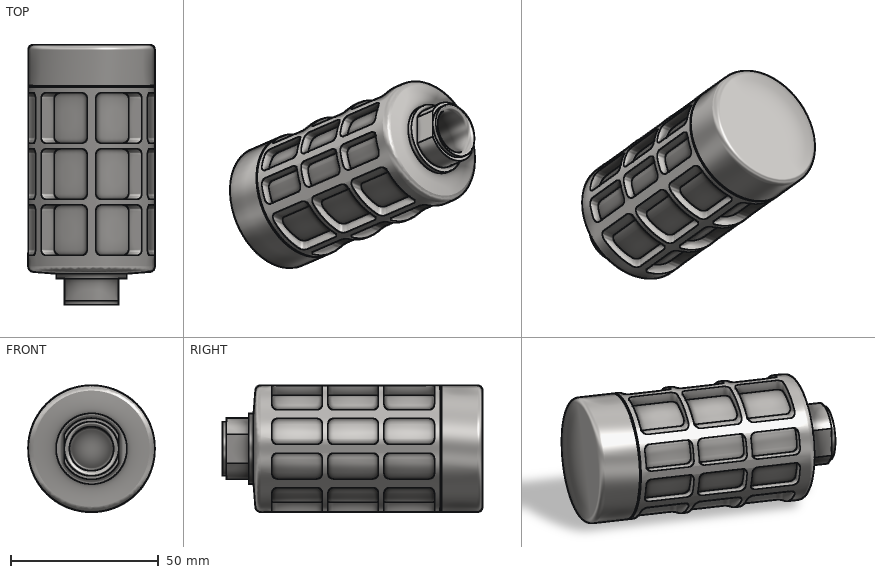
import cadquery as cq
import math

TOTAL_LENGTH = 88.1
BODY_DIAMETER = 43.0
BODY_RADIUS = BODY_DIAMETER / 2

LIP_DIAMETER = 18.4
LIP_LENGTH = 1.4
COLLAR_DIAMETER = 20.8
COLLAR_LENGTH = 7.5
FLANGE_DIAMETER = 24.0
FLANGE_LENGTH = 1.6
BORE_DIAMETER = 15.0
BORE_DEPTH = 15.0
BORE_BOTTOM_FILLET = 1.0
BORE_ENTRY_FILLET = 1.4
ACROSS_FLATS = LIP_DIAMETER

CONE_ANGLE = 4.5
SHOULDER_FILLET = 2.0
CAP_LENGTH = 13.9
CAP_FILLET = 1.9
GROOVE_WIDTH = 0.5
GROOVE_RADIUS = 20.0

WINDOW_FLOOR_RADIUS = 18.2
WINDOW_LENGTH = 17.1
WINDOW_PITCH = 18.97
WINDOW_ROWS = 3
WINDOW_CORNER_RADIUS = 2.0
LAST_WINDOW_TO_CAP_END = 16.3
SPINE_HALF_WIDTH = 1.45
SIDE_WINDOW_TOP = 10.25
UPPER_WINDOW_BOTTOM = 13.15

COLLAR_START = LIP_LENGTH
FLANGE_START = COLLAR_START + COLLAR_LENGTH
CONE_START = FLANGE_START + FLANGE_LENGTH
CONE_WIDTH = BODY_RADIUS - FLANGE_DIAMETER / 2
CONE_END = CONE_START + CONE_WIDTH * math.tan(math.radians(CONE_ANGLE))
CAP_START = TOTAL_LENGTH - CAP_LENGTH
GROOVE_START = CAP_START - GROOVE_WIDTH
FIRST_WINDOW_START = (
    TOTAL_LENGTH - LAST_WINDOW_TO_CAP_END - WINDOW_LENGTH - (WINDOW_ROWS - 1) * WINDOW_PITCH
)

OVERSIZE = 2 * BODY_RADIUS


def cylinder(radius, start, end):
    """Solid cylinder on the Y axis between two stations."""
    return cq.Workplane("XZ", origin=(0, start, 0)).circle(radius).extrude(start - end)


def make_housing():
    """Body, groove and cap turned about the Y axis."""
    profile = (
        cq.Workplane("XY")
        .moveTo(0, CONE_START)
        .lineTo(FLANGE_DIAMETER / 2, CONE_START)
        .lineTo(BODY_RADIUS, CONE_END)
        .lineTo(BODY_RADIUS, GROOVE_START)
        .lineTo(GROOVE_RADIUS, GROOVE_START)
        .lineTo(GROOVE_RADIUS, CAP_START)
        .lineTo(BODY_RADIUS, CAP_START)
        .lineTo(BODY_RADIUS, TOTAL_LENGTH)
        .lineTo(0, TOTAL_LENGTH)
        .close()
    )
    housing = profile.revolve(360, (0, 0, 0), (0, 1, 0))
    shoulder = cq.selectors.RadiusNthSelector(-1)
    housing = housing.faces("%CONE").edges("%CIRCLE").edges(shoulder).fillet(SHOULDER_FILLET)
    return housing.faces(">Y").edges().fillet(CAP_FILLET)


def make_nozzle():
    """Flange, collar with two flats and rounded lip."""
    flange = cylinder(FLANGE_DIAMETER / 2, FLANGE_START, CONE_START)
    collar = cylinder(COLLAR_DIAMETER / 2, COLLAR_START, FLANGE_START)
    flats = cq.Workplane("XY").box(ACROSS_FLATS, OVERSIZE, OVERSIZE)
    lip = cylinder(LIP_DIAMETER / 2, 0, COLLAR_START)
    return flange.union(collar.intersect(flats)).union(lip)


def cut_bore(part):
    """Blind bore with a rounded bottom and a rounded entry."""
    bore = cylinder(BORE_DIAMETER / 2, 0, BORE_DEPTH)
    bore = bore.faces(">Y").edges().fillet(BORE_BOTTOM_FILLET)
    bored = part.cut(bore)
    entry = cq.selectors.RadiusNthSelector(0)
    return bored.faces("<Y").edges(entry).fillet(BORE_ENTRY_FILLET)


def rounded_bar(plane, start, inner, outer):
    """Bar with rounded corners, running both ways through the body.

    The section spans one window length along Y, and inner to outer across it.
    """
    across = (inner + outer) / 2
    along = start + WINDOW_LENGTH / 2
    if plane == "XY":
        section = cq.Workplane("XY").center(across, along).rect(outer - inner, WINDOW_LENGTH)
    else:
        section = cq.Workplane("YZ").center(along, across).rect(WINDOW_LENGTH, outer - inner)
    bar = section.extrude(OVERSIZE, both=True)
    axis = "|Z" if plane == "XY" else "|X"
    return bar.edges(axis).fillet(WINDOW_CORNER_RADIUS)


def make_window_row(start):
    """All eight window cutters of one row, down to the common round floor."""
    side = rounded_bar("YZ", start, SPINE_HALF_WIDTH, SIDE_WINDOW_TOP)
    upper = rounded_bar("YZ", start, UPPER_WINDOW_BOTTOM, OVERSIZE)
    beside_spine = rounded_bar("XY", start, SPINE_HALF_WIDTH, OVERSIZE)
    upper_right = upper.intersect(beside_spine)
    upper_left = upper_right.mirror("YZ")
    upper_half = side.union(upper_right).union(upper_left)
    row = upper_half.union(upper_half.mirror("XY"))
    end = start + WINDOW_LENGTH
    return row.cut(cylinder(WINDOW_FLOOR_RADIUS, start, end))


result = cut_bore(make_housing().union(make_nozzle()))
for row_index in range(WINDOW_ROWS):
    result = result.cut(make_window_row(FIRST_WINDOW_START + row_index * WINDOW_PITCH))